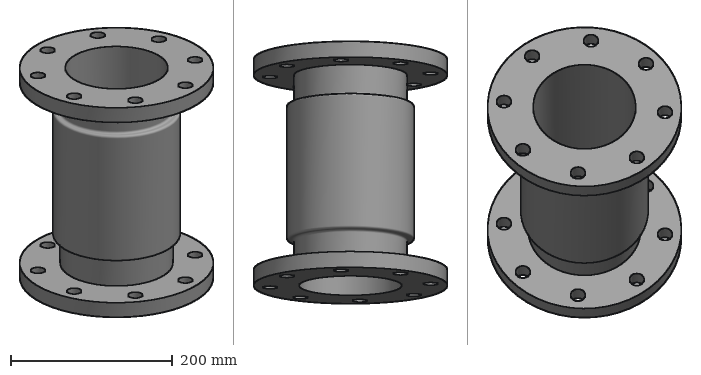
import cadquery as cq

total_height = 285.0
bore_radius = 63.5

flange_radius = 120.0
flange_thickness = 20.0
bolt_circle_radius = 100.0
bolt_hole_diameter = 18.0
bolt_count = 8
first_bolt_angle = 180.0 / bolt_count

neck_radius = 70.0
sleeve_radius = 79.0
sleeve_length = 170.0
root_fillet = 3.0
sleeve_edge_fillet = 3.0

half_height = total_height / 2
flange_inner_z = half_height - flange_thickness
sleeve_end_z = sleeve_length / 2
sleeve_edge_z = sleeve_end_z - sleeve_edge_fillet
root_top_z = sleeve_end_z + root_fillet


def make_flanged_pipe():
    """Revolve the half section of the flanged pipe about Z."""
    section = (
        cq.Workplane("XZ")
        .moveTo(bore_radius, -half_height)
        .lineTo(flange_radius, -half_height)
        .lineTo(flange_radius, -flange_inner_z)
        .lineTo(neck_radius, -flange_inner_z)
        .lineTo(neck_radius, -root_top_z)
        .radiusArc((neck_radius + root_fillet, -sleeve_end_z), root_fillet)
        .lineTo(sleeve_radius - sleeve_edge_fillet, -sleeve_end_z)
        .radiusArc((sleeve_radius, -sleeve_edge_z), -sleeve_edge_fillet)
        .lineTo(sleeve_radius, sleeve_edge_z)
        .radiusArc((sleeve_radius - sleeve_edge_fillet, sleeve_end_z), -sleeve_edge_fillet)
        .lineTo(neck_radius + root_fillet, sleeve_end_z)
        .radiusArc((neck_radius, root_top_z), root_fillet)
        .lineTo(neck_radius, flange_inner_z)
        .lineTo(flange_radius, flange_inner_z)
        .lineTo(flange_radius, half_height)
        .lineTo(bore_radius, half_height)
        .close()
    )
    return section.revolve(360, (0, 0, 0), (0, 1, 0))


def drill_bolt_holes(pipe):
    """Cut the ring of bolt holes straight through both flanges."""
    holes = (
        cq.Workplane("XY", origin=(0, 0, -half_height))
        .polarArray(bolt_circle_radius, first_bolt_angle, 360, bolt_count)
        .circle(bolt_hole_diameter / 2)
        .extrude(total_height)
    )
    return pipe.cut(holes)


result = drill_bolt_holes(make_flanged_pipe())